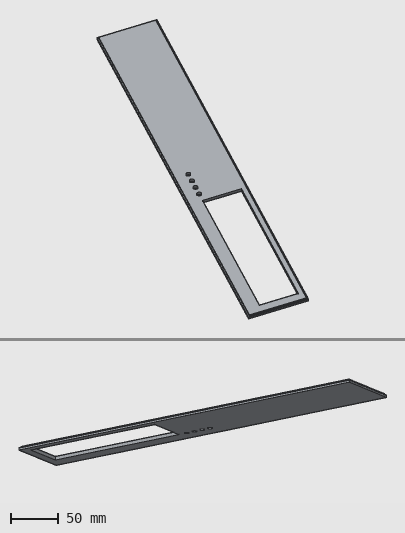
import cadquery as cq

LENGTH = 425.0
WIDTH = 68.0
THICKNESS = 4.0
STEP_INSET = 1.5
STEP_DEPTH = 1.5

WINDOW_LENGTH = 159.0
WINDOW_WIDTH = 44.0
WINDOW_END_MARGIN = 10.5
WINDOW_BACK_MARGIN = 7.5

HOLE_COUNT = 4
HOLE_DIAMETER = 5.0
HOLE_PITCH = 10.0
HOLE_WINDOW_GAP = 10.0
HOLE_FRONT_MARGIN = 16.5

window_center_x = LENGTH / 2 - WINDOW_END_MARGIN - WINDOW_LENGTH / 2
window_center_y = WIDTH / 2 - WINDOW_BACK_MARGIN - WINDOW_WIDTH / 2
last_hole_x = window_center_x - WINDOW_LENGTH / 2 - HOLE_WINDOW_GAP
hole_y = -WIDTH / 2 + HOLE_FRONT_MARGIN


def make_panel():
    """Flat plate, centred on X and Y, with a raised face set in from a thinner rim on all sides."""
    raised_face = cq.Workplane("XY").rect(LENGTH - 2 * STEP_INSET, WIDTH - 2 * STEP_INSET).extrude(THICKNESS)
    return cq.Workplane("XY").rect(LENGTH, WIDTH).extrude(THICKNESS - STEP_DEPTH).union(raised_face)


def make_window():
    """Cutter for the rectangular opening through the plate."""
    return (
        cq.Workplane("XY")
        .center(window_center_x, window_center_y)
        .rect(WINDOW_LENGTH, WINDOW_WIDTH)
        .extrude(THICKNESS)
    )


def make_holes():
    """Cutter for the row of through holes, which runs from the window toward -X."""
    centers = [(last_hole_x - i * HOLE_PITCH, hole_y) for i in range(HOLE_COUNT)]
    return cq.Workplane("XY").pushPoints(centers).circle(HOLE_DIAMETER / 2).extrude(THICKNESS)


result = make_panel().cut(make_window()).cut(make_holes())